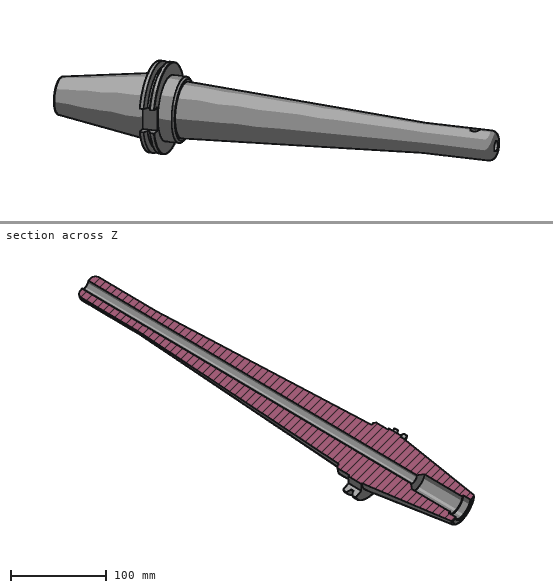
import cadquery as cq

total_length = 482.5
gauge_x = 102.0
flange_start = 104.5
flange_end = 121.0
hub_end = 138.5
shank_start = 403.0

taper_small_diameter = 40.5
gauge_diameter = 70.5
taper_edge_chamfer = 1.5

flange_diameter = 97.0
flange_edge_chamfer = 0.5
groove_depth = 5.5
groove_floor_width = 2.5
groove_mouth_width = 7.0
groove_center = (flange_start + flange_end) / 2
slot_width = 25.5
slot_floor_offset = 36.5

hub_diameter = 70.0
hub_chamfer = 2.5
neck_diameter = 60.0
shank_diameter = 32.0
tip_round = 6.8

mouth_chamfer = 1.0
counterbore_diameter = 26.0
counterbore_depth = 9.5
thread_diameter = 22.0
thread_depth = 58.0
coolant_diameter = 11.0

screw_diameter = 10.0
screw_x = 459.5


def make_body():
    """Revolve the outer outline about the X axis and round the tip."""
    hub_radius = hub_diameter / 2
    flange_radius = flange_diameter / 2
    groove_radius = flange_radius - groove_depth
    small_radius = taper_small_diameter / 2
    outline = [
        (0, 0),
        (0, small_radius - taper_edge_chamfer),
        (taper_edge_chamfer, small_radius),
        (gauge_x, gauge_diameter / 2),
        (flange_start, gauge_diameter / 2),
        (flange_start, flange_radius - flange_edge_chamfer),
        (flange_start + flange_edge_chamfer, flange_radius),
        (groove_center - groove_mouth_width / 2, flange_radius),
        (groove_center - groove_floor_width / 2, groove_radius),
        (groove_center + groove_floor_width / 2, groove_radius),
        (groove_center + groove_mouth_width / 2, flange_radius),
        (flange_end - flange_edge_chamfer, flange_radius),
        (flange_end, flange_radius - flange_edge_chamfer),
        (flange_end, hub_radius),
        (hub_end - hub_chamfer, hub_radius),
        (hub_end, hub_radius - hub_chamfer),
        (hub_end, neck_diameter / 2),
        (shank_start, shank_diameter / 2),
        (total_length, shank_diameter / 2),
        (total_length, 0),
    ]
    body = cq.Workplane("XY").polyline(outline).close().revolve(360, (0, 0, 0), (1, 0, 0))
    return body.faces(">X").edges().fillet(tip_round)


def make_bore():
    """Stepped axial bore running through the whole part."""
    mouth_radius = counterbore_diameter / 2 + mouth_chamfer
    outline = [
        (0, 0),
        (0, mouth_radius),
        (mouth_chamfer, counterbore_diameter / 2),
        (counterbore_depth, counterbore_diameter / 2),
        (counterbore_depth, thread_diameter / 2),
        (thread_depth, thread_diameter / 2),
        (thread_depth + (thread_diameter - coolant_diameter) / 2, coolant_diameter / 2),
        (total_length, coolant_diameter / 2),
        (total_length, 0),
    ]
    return cq.Workplane("XY").polyline(outline).close().revolve(360, (0, 0, 0), (1, 0, 0))


def make_drive_slot(side):
    """Flat-bottomed slot across the flange on one side (+1 or -1) in Y."""
    depth = flange_diameter / 2 - slot_floor_offset
    return (
        cq.Workplane("XY")
        .box(flange_end - flange_start, depth, slot_width)
        .translate((groove_center, side * (slot_floor_offset + depth / 2), 0))
    )


def make_screw_hole():
    """Radial hole from the top of the shank down to the axial bore."""
    return (
        cq.Workplane("XY")
        .center(screw_x, 0)
        .circle(screw_diameter / 2)
        .extrude(shank_diameter / 2)
    )


result = make_body().cut(make_bore()).cut(make_screw_hole())
for slot_side in (-1, 1):
    result = result.cut(make_drive_slot(slot_side))